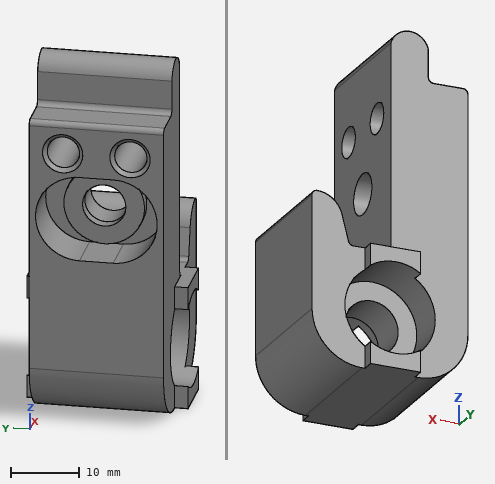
import cadquery as cq
import math

width = 25.0
body_depth = 20.0
overall_depth = 24.0
height = 54.5
half_width = width / 2
left_x = -half_width

base_radius = 8.0
small_radius = 0.8
shoulder_z = 46.9
tongue_width = 6.0
tongue_right_x = -0.15
tongue_left_x = tongue_right_x - tongue_width
tongue_crown = 2.35
groove_floor_z = 19.0
hook_tip_z = 26.8
hook_radius = 4.1
hook_slope = math.radians(75.5)

tab_width = 8.0
bore_z = 9.55
bore_diameter = 14.5
bore_web = 7.0
axle_diameter = 8.5

slot_z = 32.0
slot_length = 18.1
slot_height = 13.1
slot_depth = 7.75
washer_diameter = 12.0
washer_thickness = 1.75
bolt_diameter = 6.45
screw_z = 42.1
screw_spacing = 10.05
screw_diameter = 4.8
screw_chamfer = 0.6

slot_floor_x = left_x + slot_depth
washer_front_x = slot_floor_x - washer_thickness


def make_outline():
    """Extruded side outline with its concave and convex rounds."""
    hook_arc_x = half_width - small_radius
    hook_arc_z = hook_tip_z - hook_radius

    def hook_arc_point(angle):
        return (hook_arc_x - hook_radius * math.sin(angle),
                hook_arc_z + hook_radius * math.cos(angle))

    flank_top = hook_arc_point(hook_slope)
    flank_foot_x = flank_top[0] - (flank_top[1] - groove_floor_z) / math.tan(hook_slope)
    tongue_arc_z = height - tongue_crown
    diagonal = math.sqrt(0.5)
    outline = (
        cq.Workplane("XZ", origin=(0, body_depth / 2, 0))
        .moveTo(left_x, 0)
        .lineTo(left_x, shoulder_z)
        .lineTo(tongue_left_x, shoulder_z)
        .lineTo(tongue_left_x, tongue_arc_z)
        .threePointArc((tongue_left_x + tongue_width / 2, height), (tongue_right_x, tongue_arc_z))
        .lineTo(tongue_right_x, groove_floor_z)
        .lineTo(flank_foot_x, groove_floor_z)
        .lineTo(*flank_top)
        .threePointArc(hook_arc_point(hook_slope / 2), (hook_arc_x, hook_tip_z))
        .threePointArc(
            (hook_arc_x + small_radius * diagonal, hook_tip_z - small_radius * (1 - diagonal)),
            (half_width, hook_tip_z - small_radius),
        )
        .lineTo(half_width, 0)
        .close()
        .extrude(body_depth)
    )

    def edges_at(points):
        selected = outline.edges(cq.NearestToPointSelector((points[0][0], 0, points[0][1])))
        for x, z in points[1:]:
            selected = selected.add(outline.edges(cq.NearestToPointSelector((x, 0, z))))
        return selected

    small_corners = [
        (left_x, shoulder_z),
        (tongue_left_x, shoulder_z),
        (tongue_right_x, groove_floor_z),
        (flank_foot_x, groove_floor_z),
    ]
    outline = edges_at(small_corners).fillet(small_radius)
    return edges_at([(left_x, 0), (half_width, 0)]).fillet(base_radius)


def make_tabs():
    """Bar across the body whose ends stand out as tabs on both sides."""
    return cq.Workplane("XY").box(
        tab_width, overall_depth, groove_floor_z, centered=(True, True, False)
    )


def cylinder_along_y(diameter, start_y, end_y):
    return (
        cq.Workplane("XZ", origin=(0, start_y, bore_z))
        .circle(diameter / 2)
        .extrude(start_y - end_y)
    )


def cut_bore(body):
    """Axle hole with a counterbore from each side."""
    outer_y = overall_depth / 2
    web_y = bore_web / 2
    return (
        body.cut(cylinder_along_y(axle_diameter, outer_y, -outer_y))
        .cut(cylinder_along_y(bore_diameter, outer_y, web_y))
        .cut(cylinder_along_y(bore_diameter, -web_y, -outer_y))
    )


def left_plane(x, z):
    """Workplane facing +X, with local X along Y."""
    return cq.Workplane("YZ", origin=(x, 0, z))


def cut_fixing_slot(body):
    """Slot that stops short of the far face, with a bolt hole right through."""
    slot = left_plane(left_x, slot_z).slot2D(slot_length, slot_height).extrude(slot_depth)
    bolt_hole = left_plane(left_x, slot_z).circle(bolt_diameter / 2).extrude(tongue_right_x - left_x)
    return body.cut(slot).cut(bolt_hole)


def cut_screw_holes(body):
    """Pair of through holes, chamfered at the left face."""
    radius = screw_diameter / 2
    hole = left_plane(left_x, screw_z).circle(radius).extrude(tongue_right_x - left_x)
    mouth = cq.Workplane(cq.Solid.makeCone(
        radius + screw_chamfer, radius, screw_chamfer,
        pnt=cq.Vector(left_x, 0, screw_z), dir=cq.Vector(1, 0, 0),
    ))
    cutter = hole.union(mouth)
    for side in (-1, 1):
        body = body.cut(cutter.translate((0, side * screw_spacing / 2, 0)))
    return body


def make_housing():
    body = make_outline().union(make_tabs())
    body = cut_bore(body)
    body = cut_fixing_slot(body)
    return cut_screw_holes(body)


def make_washer():
    """Flat ring resting on the slot floor, in line with the bolt hole."""
    return (
        left_plane(washer_front_x, slot_z)
        .circle(washer_diameter / 2)
        .circle(bolt_diameter / 2)
        .extrude(washer_thickness)
    )


housing = make_housing()
washer = make_washer()
result = cq.Compound.makeCompound([housing.val(), washer.val()])